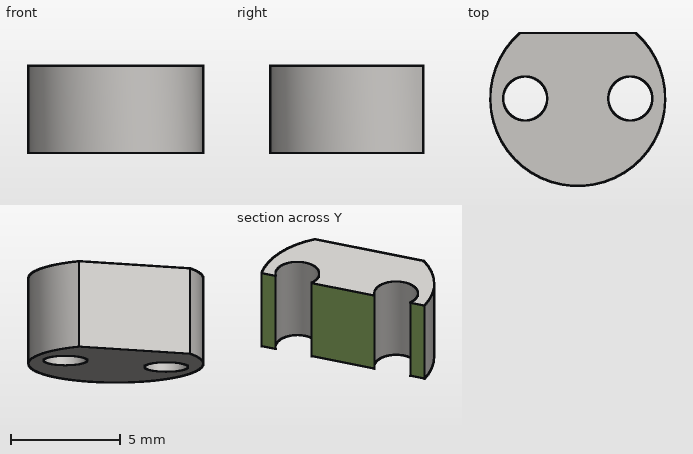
import cadquery as cq

body_diameter = 8.0
body_height = 4.0
flat_offset = 3.0
hole_diameter = 2.0
hole_spacing = 4.8


def make_body():
    """Round disc standing on the XY plane, cut off by a flat on its +Y side."""
    disc = cq.Workplane("XY").circle(body_diameter / 2).extrude(body_height)
    beyond_flat = (
        cq.Workplane("XY")
        .center(0, flat_offset + body_diameter / 2)
        .rect(body_diameter, body_diameter)
        .extrude(body_height)
    )
    return disc.cut(beyond_flat)


def make_holes():
    """Two through holes placed symmetrically about the body axis."""
    return (
        cq.Workplane("XY")
        .pushPoints([(side * hole_spacing / 2, 0) for side in (-1, 1)])
        .circle(hole_diameter / 2)
        .extrude(body_height)
    )


result = make_body().cut(make_holes())